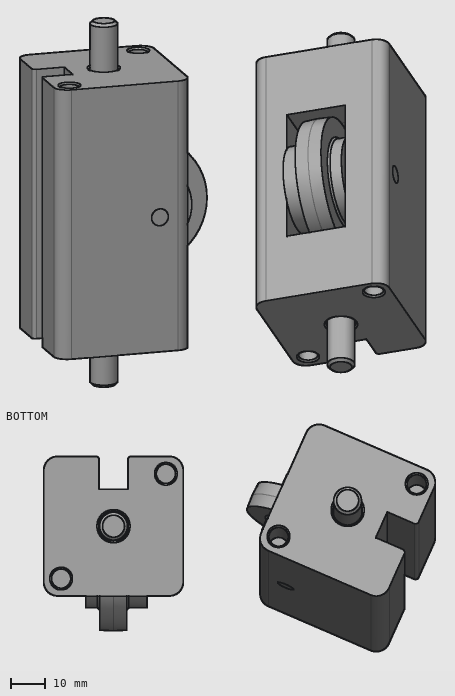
import cadquery as cq

HOUSING_WIDTH = 40.0
HOUSING_HEIGHT = 80.0
CORNER_RADIUS = 4.0
HALF_WIDTH = HOUSING_WIDTH / 2
HALF_HEIGHT = HOUSING_HEIGHT / 2

SLOT_WIDTH = 8.2
SLOT_DEPTH = 9.4
SLOT_LIP_RADIUS = 1.0

FIXING_HOLE_DIAMETER = 5.5
FIXING_HOLE_MOUTH = 6.5
FIXING_HOLE_DEPTH = 15.0
FIXING_HOLE_OFFSET = 15.0

ROD_DIAMETER = 8.0
ROD_PROJECTION = 14.0
ROD_TIP_CHAMFER = 0.85
ROD_BORE_DIAMETER = 8.5
ROD_BORE_CHAMFER = 0.5

WHEEL_DIAMETER = 38.8
WHEEL_RIM_WIDTH = 7.8
WHEEL_CENTRE_X = -0.1
WHEEL_RIM_DROP = 0.2
WHEEL_PROJECTION = 10.0
WHEEL_AXIS_Y = HALF_WIDTH + WHEEL_PROJECTION - WHEEL_DIAMETER / 2
HUB_DIAMETER = 25.6
HUB_ROOT_CHAMFER = 0.6
HUB_LEFT_X = -8.0
HUB_RIGHT_X = 9.6

PIN_DIAMETER = 5.0

POCKET_RADIAL_CLEARANCE = 0.5
POCKET_RADIUS = WHEEL_DIAMETER / 2 + POCKET_RADIAL_CLEARANCE

ROD_INNER_END_Z = POCKET_RADIUS
ROD_OUTER_END_Z = HALF_HEIGHT + ROD_PROJECTION


def x_cylinder(diameter, x_start, x_end):
    """Cylinder on the wheel axis between two X positions."""
    return (
        cq.Workplane("YZ", origin=(x_start, WHEEL_AXIS_Y, 0))
        .circle(diameter / 2)
        .extrude(x_end - x_start)
    )


def make_slot_cutter():
    """Full-height bar centred on the -Y face, so half of it lies inside the housing."""
    bar = cq.Workplane("XY").box(SLOT_WIDTH, 2 * SLOT_DEPTH, HOUSING_HEIGHT)
    return bar.translate((0, -HALF_WIDTH, 0))


def make_wheel_pocket():
    """Round-bottomed pocket as wide as the wheel and its hubs."""
    round_bottom = x_cylinder(2 * POCKET_RADIUS, HUB_LEFT_X, HUB_RIGHT_X)
    mouth = cq.Workplane("XY").box(
        HUB_RIGHT_X - HUB_LEFT_X,
        HALF_WIDTH - WHEEL_AXIS_Y,
        2 * POCKET_RADIUS,
        centered=(False, False, True),
    )
    return round_bottom.union(mouth.translate((HUB_LEFT_X, WHEEL_AXIS_Y, 0)))


def make_end_hole(diameter, mouth_diameter, depth):
    """Cutter for a hole with a 45 degree chamfered mouth, sunk into the top face."""
    radius = diameter / 2
    mouth_radius = mouth_diameter / 2
    return (
        cq.Workplane("XZ", origin=(0, 0, HALF_HEIGHT))
        .polyline(
            [
                (0, 0),
                (mouth_radius, 0),
                (radius, radius - mouth_radius),
                (radius, -depth),
                (0, -depth),
            ]
        )
        .close()
        .revolve(360, (0, 0, 0), (0, 1, 0))
    )


def make_housing():
    block = cq.Workplane("XY").box(HOUSING_WIDTH, HOUSING_WIDTH, HOUSING_HEIGHT)
    block = block.edges("|Z").fillet(CORNER_RADIUS)
    block = block.cut(make_slot_cutter())
    lip_zone = cq.selectors.BoxSelector(
        (-SLOT_WIDTH, -HALF_WIDTH - SLOT_LIP_RADIUS, -SLOT_LIP_RADIUS),
        (SLOT_WIDTH, -HALF_WIDTH + SLOT_LIP_RADIUS, SLOT_LIP_RADIUS),
    )
    block = block.edges("|Z").edges(lip_zone).fillet(SLOT_LIP_RADIUS)

    fixing_hole = make_end_hole(FIXING_HOLE_DIAMETER, FIXING_HOLE_MOUTH, FIXING_HOLE_DEPTH)
    rod_bore = make_end_hole(
        ROD_BORE_DIAMETER,
        ROD_BORE_DIAMETER + 2 * ROD_BORE_CHAMFER,
        HALF_HEIGHT - ROD_INNER_END_Z,
    )
    end_cutters = [rod_bore]
    for side in (-1, 1):
        end_cutters.append(
            fixing_hole.translate((side * FIXING_HOLE_OFFSET, -side * FIXING_HOLE_OFFSET, 0))
        )
    for cutter in end_cutters:
        block = block.cut(cutter).cut(cutter.mirror("XY"))

    pin_bore = x_cylinder(PIN_DIAMETER, -HALF_WIDTH, HALF_WIDTH)
    return block.cut(make_wheel_pocket()).cut(pin_bore)


def make_wheel():
    """Wheel turned about X: profile drawn as (x, radius) and revolved."""
    rim_left = WHEEL_CENTRE_X - WHEEL_RIM_WIDTH / 2
    rim_right = WHEEL_CENTRE_X + WHEEL_RIM_WIDTH / 2
    hub_radius = HUB_DIAMETER / 2
    root_radius = hub_radius + HUB_ROOT_CHAMFER
    crown_radius = WHEEL_DIAMETER / 2
    rim_edge_radius = crown_radius - WHEEL_RIM_DROP
    bore_radius = PIN_DIAMETER / 2
    return (
        cq.Workplane("XY", origin=(0, WHEEL_AXIS_Y, 0))
        .polyline(
            [
                (HUB_LEFT_X, bore_radius),
                (HUB_LEFT_X, hub_radius),
                (rim_left - HUB_ROOT_CHAMFER, hub_radius),
                (rim_left, root_radius),
                (rim_left, rim_edge_radius),
                (WHEEL_CENTRE_X, crown_radius),
                (rim_right, rim_edge_radius),
                (rim_right, root_radius),
                (rim_right + HUB_ROOT_CHAMFER, hub_radius),
                (HUB_RIGHT_X, hub_radius),
                (HUB_RIGHT_X, bore_radius),
            ]
        )
        .close()
        .revolve(360, (0, 0, 0), (1, 0, 0))
    )


def make_rod(side):
    """Rod with a chamfered outer tip; side is +1 for the top end and -1 for the bottom end."""
    rod = (
        cq.Workplane("XY", origin=(0, 0, ROD_INNER_END_Z))
        .circle(ROD_DIAMETER / 2)
        .extrude(ROD_OUTER_END_Z - ROD_INNER_END_Z)
        .faces(">Z")
        .chamfer(ROD_TIP_CHAMFER)
    )
    if side > 0:
        return rod
    return rod.mirror("XY")


housing = make_housing()
wheel = make_wheel()
wheel_pin = x_cylinder(PIN_DIAMETER, -HALF_WIDTH, HALF_WIDTH)
rods = [make_rod(side) for side in (1, -1)]

result = cq.Compound.makeCompound(
    [housing.val(), wheel.val(), wheel_pin.val(), *[rod.val() for rod in rods]]
)